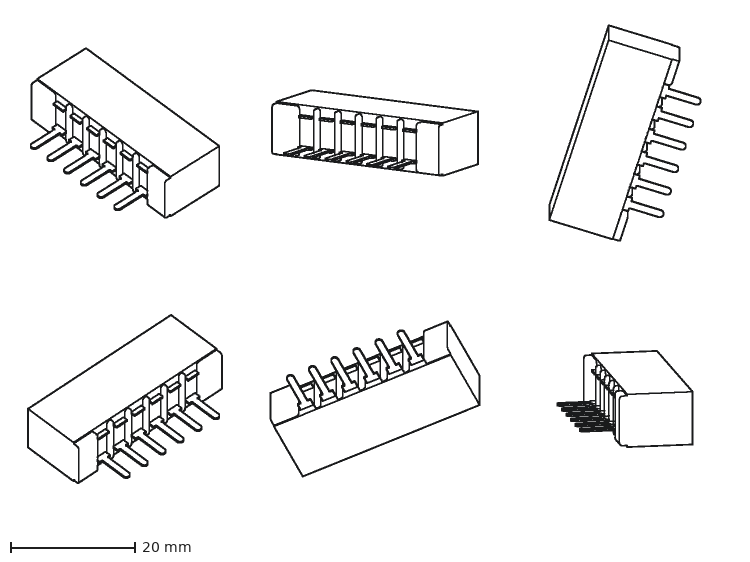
import cadquery as cq

housing_length = 31.65
housing_depth = 10.72
housing_height = 8.71

pitch = 3.96
contact_count = 6
rib_count = contact_count - 1

raised_setback = 0.25
raised_height = housing_height - 2 * raised_setback
end_pad_length = 4.43
end_pad_thickness = 1.28
end_pad_radius = 0.5
rib_radius = 0.51
rib_projection = 0.8

row_offset = 2.55
strip_thickness = 0.3
shoulder_width = 2.3
shoulder_length = 1.1
tab_length = 0.85
tail_width = 1.2
tail_radius = tail_width / 2
overall_depth = 17.42
tail_tip = overall_depth - housing_depth


def row_positions(count):
    """X positions of evenly pitched items centred on the housing."""
    return [(index - (count - 1) / 2) * pitch for index in range(count)]


def face_box(length, projection, height):
    """Box standing out toward -Y, centred on the mounting face."""
    return cq.Workplane("XY").box(length, projection, height).translate((0, -projection / 2, 0))


def make_end_pads():
    """Pads flush with both ends of the housing, rounded on every other outer edge."""
    right_pad = face_box(end_pad_length, end_pad_thickness, raised_height)
    right_pad = right_pad.edges("(|Y and <X) or (|X and <Y) or (|Z and <X and <Y)")
    right_pad = right_pad.fillet(end_pad_radius)
    right_pad = right_pad.translate(((housing_length - end_pad_length) / 2, 0, 0))
    return right_pad.union(right_pad.mirror("YZ"))


def make_rib():
    """Upright rib with a fully rounded front and domed ends."""
    base_projection = rib_projection - rib_radius
    straight_height = raised_height - 2 * rib_radius
    rib = (
        cq.Workplane("XZ")
        .slot2D(raised_height, 2 * rib_radius, 90)
        .extrude(base_projection)
    )
    front = (
        cq.Workplane("XY")
        .circle(rib_radius)
        .extrude(straight_height / 2, both=True)
        .translate((0, -base_projection, 0))
    )
    rib = rib.union(front)
    for end_z in (-straight_height / 2, straight_height / 2):
        rib = rib.union(cq.Workplane("XY").sphere(rib_radius).translate((0, -base_projection, end_z)))
    return rib


def make_housing():
    """Block with end pads, separating ribs and the upper row of tabs."""
    housing = cq.Workplane("XY").box(housing_length, housing_depth, housing_height)
    housing = housing.translate((0, housing_depth / 2, 0))
    housing = housing.union(make_end_pads())
    for x in row_positions(rib_count):
        housing = housing.union(make_rib().translate((x, 0, 0)))
    tab = face_box(shoulder_width, tab_length, strip_thickness)
    for x in row_positions(contact_count):
        housing = housing.union(tab.translate((x, 0, row_offset)))
    return housing


def make_contact():
    """Flat contact: a wide shoulder on the mounting face and a narrow tail with a round tip."""
    return (
        cq.Workplane("XY")
        .moveTo(-shoulder_width / 2, 0)
        .lineTo(-shoulder_width / 2, -shoulder_length)
        .lineTo(-tail_width / 2, -shoulder_length)
        .lineTo(-tail_width / 2, tail_radius - tail_tip)
        .threePointArc((0, -tail_tip), (tail_width / 2, tail_radius - tail_tip))
        .lineTo(tail_width / 2, -shoulder_length)
        .lineTo(shoulder_width / 2, -shoulder_length)
        .lineTo(shoulder_width / 2, 0)
        .close()
        .extrude(strip_thickness / 2, both=True)
    )


housing = make_housing()
contacts = [make_contact().translate((x, 0, -row_offset)) for x in row_positions(contact_count)]

result = cq.Compound.makeCompound([housing.val(), *[contact.val() for contact in contacts]])